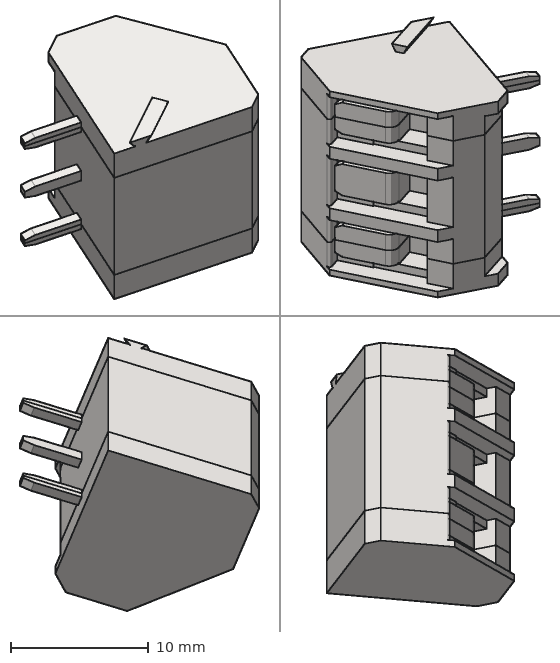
import cadquery as cq
import math

overall_depth = 16.5
width = 12.5
depth = 12.0
pole_count = 3
pole_pitch = 5.08
height = pole_count * pole_pitch
entry_face_leg = 6.0
back_chamfer = 0.95
front_chamfer = 1.25
front_relief = 2.31
relief_inset = 1.0

window_height = 4.1
window_overrun = 1.65
lip_depth = 0.85
lip_end = 1.19
pad_radius = 0.76
lower_floor_depth = lip_depth + pad_radius
floor_rise = 0.1
upper_floor_depth = lower_floor_depth - floor_rise
floor_step = 5.71
rim_x = 6.55
rim_radius = 0.2

hole_height = 2.79
hole_end = 3.73
hole_depth = 1.98
pad_height = 2.59
pad_end = 8.45
pad_root = 0.16
pad_chamfer_length = 0.56
pad_chamfer_height = 0.26

pin_x = 6.5
pin_width = 0.75
pin_height = 1.0
pin_length = overall_depth - depth
pin_tip_height = 0.61
pin_tip_length = 0.82

rib_rise = 0.6
rib_top_width = 1.24
rib_foot_width = 0.65
rib_end_x = 9.52
rib_end_y = 5.1

pole_heights = [(index + 0.5) * pole_pitch for index in range(pole_count)]


def on_entry_face(along, inward):
    """X-Y point at a distance along the entry face and a depth below it."""
    return (
        (along + inward) / math.sqrt(2),
        depth - entry_face_leg + (along - inward) / math.sqrt(2),
    )


def extrude_about(profile, pole_z, size):
    """Close and extrude an X-Y profile to a height centred on a pole."""
    return profile.close().extrude(size).translate((0, 0, pole_z - size / 2))


def make_block():
    block = (
        cq.Workplane("XY")
        .moveTo(front_chamfer, 0)
        .lineTo(width, 0)
        .lineTo(width, depth - back_chamfer)
        .lineTo(width - back_chamfer, depth)
        .lineTo(entry_face_leg, depth)
        .lineTo(0, depth - entry_face_leg)
        .lineTo(0, front_chamfer)
        .close()
        .extrude(height)
    )
    relief = (
        cq.Workplane("XY", origin=(0, 0, relief_inset))
        .polyline([(0, 0), (front_relief, 0), (0, front_relief)])
        .close()
        .extrude(height - 2 * relief_inset)
    )
    return block.cut(relief)


def make_window(pole_z):
    """Stepped opening in the entry face, with a rounded rim at its far end."""
    rim_y = depth - rim_radius
    arc_offset = rim_radius * math.sqrt(0.5)
    arc_middle_angle = math.radians((225 + 90) / 2)
    arc_start = (rim_x - arc_offset, rim_y - arc_offset)
    arc_middle = (
        rim_x + rim_radius * math.cos(arc_middle_angle),
        rim_y + rim_radius * math.sin(arc_middle_angle),
    )
    window_end = (sum(arc_start) - (depth - entry_face_leg)) / math.sqrt(2)
    profile = (
        cq.Workplane("XY")
        .moveTo(*on_entry_face(-window_overrun, -window_overrun))
        .lineTo(*on_entry_face(-window_overrun, lip_depth))
        .lineTo(*on_entry_face(lip_end, lip_depth))
        .lineTo(*on_entry_face(lip_end, lower_floor_depth))
        .lineTo(*on_entry_face(floor_step, lower_floor_depth))
        .lineTo(*on_entry_face(floor_step, upper_floor_depth))
        .lineTo(*on_entry_face(window_end, upper_floor_depth))
        .lineTo(*arc_start)
        .threePointArc(arc_middle, (rim_x, depth))
        .lineTo(rim_x, depth + window_overrun)
    )
    return extrude_about(profile, pole_z, window_height)


def make_wire_hole(pole_z):
    profile = cq.Workplane("XY").polyline([
        on_entry_face(lip_end, lip_depth),
        on_entry_face(hole_end, lip_depth),
        on_entry_face(hole_end, lower_floor_depth + hole_depth),
        on_entry_face(lip_end, lower_floor_depth + hole_depth),
    ])
    return extrude_about(profile, pole_z, hole_height)


def make_clamp_pad(pole_z):
    """Raised pad with a quarter-round nose at the hole and a chamfered far end."""
    pad_bottom = lower_floor_depth + pad_root
    nose_offset = pad_radius * (1 - math.sin(math.pi / 4))
    side_profile = (
        cq.Workplane("XY")
        .moveTo(*on_entry_face(hole_end, pad_bottom))
        .lineTo(*on_entry_face(hole_end, lower_floor_depth))
        .threePointArc(
            on_entry_face(hole_end + nose_offset, lip_depth + nose_offset),
            on_entry_face(hole_end + pad_radius, lip_depth),
        )
        .lineTo(*on_entry_face(pad_end, lip_depth))
        .lineTo(*on_entry_face(pad_end, pad_bottom))
    )
    pad = extrude_about(side_profile, pole_z, pad_height)

    face_origin = on_entry_face(0, 0)
    half_height = pad_height / 2
    for side in (1, -1):
        corner = (
            cq.Workplane(cq.Plane(origin=(*face_origin, pole_z), xDir=(1, 1, 0), normal=(1, -1, 0)))
            .polyline([
                (pad_end, side * half_height),
                (pad_end - pad_chamfer_length, side * half_height),
                (pad_end, side * (half_height - pad_chamfer_height)),
            ])
            .close()
            .extrude(pad_bottom)
        )
        pad = pad.cut(corner)
    return pad


def make_pin(pole_z):
    shoulder_y = -(pin_length - pin_tip_length)
    outline = [
        (0, pin_height / 2),
        (shoulder_y, pin_height / 2),
        (-pin_length, pin_tip_height / 2),
        (-pin_length, -pin_tip_height / 2),
        (shoulder_y, -pin_height / 2),
        (0, -pin_height / 2),
    ]
    return (
        cq.Workplane("YZ", origin=(pin_x - pin_width / 2, 0, pole_z))
        .polyline(outline)
        .close()
        .extrude(pin_width)
    )


def make_rib():
    """Dovetail section swept toward the +X side and trimmed flush with it."""
    section = cq.Plane(origin=(rib_end_x, rib_end_y, height), xDir=(1, 1, 0), normal=(1, -1, 0))
    rib = (
        cq.Workplane(section)
        .polyline([
            (-rib_foot_width / 2, 0),
            (rib_foot_width / 2, 0),
            (rib_top_width / 2, rib_rise),
            (-rib_top_width / 2, rib_rise),
        ])
        .close()
        .extrude(width)
    )
    trim = cq.Workplane("XY").box(width, depth, height + rib_rise, centered=False)
    return rib.intersect(trim)


def make_terminal_block():
    terminal = make_block().union(make_rib())
    for pole_z in pole_heights:
        terminal = (
            terminal.cut(make_window(pole_z))
            .cut(make_wire_hole(pole_z))
            .union(make_clamp_pad(pole_z))
            .union(make_pin(pole_z))
        )
    return terminal


def slice_between(terminal, low_z, high_z):
    """Part of the terminal block between two heights."""
    slab = (
        cq.Workplane("XY", origin=(0, -pin_length, low_z))
        .box(width, depth + pin_length, high_z - low_z, centered=False)
    )
    return terminal.intersect(slab)


terminal_block = make_terminal_block()
lower_section = slice_between(terminal_block, 0, pole_heights[0])
middle_section = slice_between(terminal_block, pole_heights[0], pole_heights[-1])
upper_section = slice_between(terminal_block, pole_heights[-1], height + rib_rise)

result = cq.Compound.makeCompound([
    lower_section.solids().val(),
    middle_section.solids().val(),
    upper_section.solids().val(),
])